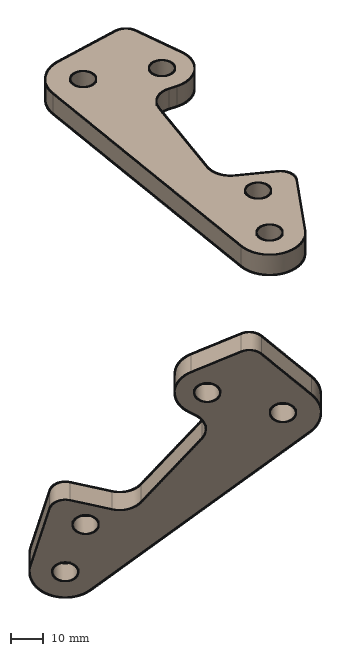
import cadquery as cq
import math

thickness = 8.0
hole_diameter = 8.0
hole_span = 95.0

lower_left_hole = (0, 0)
lower_right_hole = (hole_span, 0)
upper_left_hole = (10.1, 22.5)
upper_right_hole = (76.3, 9.7)
holes = [lower_left_hole, lower_right_hole, upper_left_hole, upper_right_hole]

outside = 1
inside = -1
small_radius = 5.0
rounds = [
    (lower_left_hole, 11.7, outside),
    (lower_right_hole, 11.0, outside),
    ((76.7, 18.0), small_radius, outside),
    ((58.9, 12.2), 8.0, inside),
    ((26.5, 16.9), 7.0, inside),
    (upper_left_hole, 10.0, outside),
    ((-8.2, 22.5), small_radius, outside),
]


def tangent_normal_angle(first, second):
    """Direction of the right-hand normal of the straight edge joining two rounds."""
    (x1, y1), radius1, turn1 = first
    (x2, y2), radius2, turn2 = second
    distance = math.hypot(x2 - x1, y2 - y1)
    centre_line_angle = math.atan2(y2 - y1, x2 - x1)
    return centre_line_angle - math.acos((turn1 * radius1 - turn2 * radius2) / distance)


def point_on_round(edge_round, angle):
    """Point of a round where the outline's right-hand normal has the given angle."""
    (x, y), radius, turn = edge_round
    return (x + turn * radius * math.cos(angle), y + turn * radius * math.sin(angle))


def make_outline():
    """Closed wire of rounds joined by straight tangent edges."""
    count = len(rounds)
    normals = [tangent_normal_angle(rounds[i], rounds[(i + 1) % count]) for i in range(count)]
    outline = cq.Workplane("XY").moveTo(*point_on_round(rounds[0], normals[0]))
    for i in range(count):
        following = rounds[(i + 1) % count]
        start_angle = normals[i]
        end_angle = normals[(i + 1) % count]
        turn = following[2]
        sweep = turn * ((turn * (end_angle - start_angle)) % (2 * math.pi))
        outline = outline.lineTo(*point_on_round(following, start_angle))
        outline = outline.threePointArc(
            point_on_round(following, start_angle + sweep / 2),
            point_on_round(following, end_angle),
        )
    return outline.close()


plate = make_outline().extrude(thickness)
hole_cutters = cq.Workplane("XY").pushPoints(holes).circle(hole_diameter / 2).extrude(thickness)
result = plate.cut(hole_cutters)